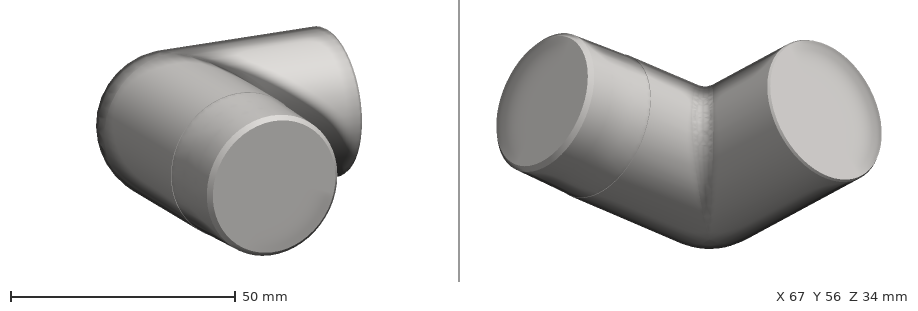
import cadquery as cq

body_diameter = 34.0
overall_x = 67.0
overall_y = 56.0
body_radius = body_diameter / 2
spigot_end = overall_x - body_radius
socket_end = overall_y - body_radius

shoulder_x = 32.7
spigot_step = 0.15
spigot_root_radius = body_radius - spigot_step
spigot_tip_radius = 16.35
spigot_chamfer = 1.0

socket_chamfer_length = 0.6
socket_chamfer_depth = 0.35

corner_fillet = 3.35


def elbow_body():
    """Two equal cylinders at right angles, joined by a ball at the outer corner."""
    x_arm = cq.Workplane("YZ").circle(body_radius).extrude(shoulder_x)
    y_arm = cq.Workplane("XZ").circle(body_radius).extrude(-socket_end)
    y_arm = y_arm.faces(">Y").chamfer(socket_chamfer_length, socket_chamfer_depth)
    arms = x_arm.union(y_arm)
    arms = arms.edges("%ELLIPSE").fillet(corner_fillet)
    ball = cq.Workplane("XY").sphere(body_radius)
    return arms.union(ball)


def spigot():
    """Slightly tapered end, stepped in from the body and chamfered at its tip."""
    chamfer_start = spigot_end - spigot_chamfer
    return (
        cq.Workplane("XY")
        .moveTo(shoulder_x, 0)
        .lineTo(shoulder_x, spigot_root_radius)
        .lineTo(chamfer_start, spigot_tip_radius)
        .lineTo(spigot_end, spigot_tip_radius - spigot_chamfer)
        .lineTo(spigot_end, 0)
        .close()
        .revolve(360, (0, 0, 0), (1, 0, 0))
    )


result = elbow_body().union(spigot())